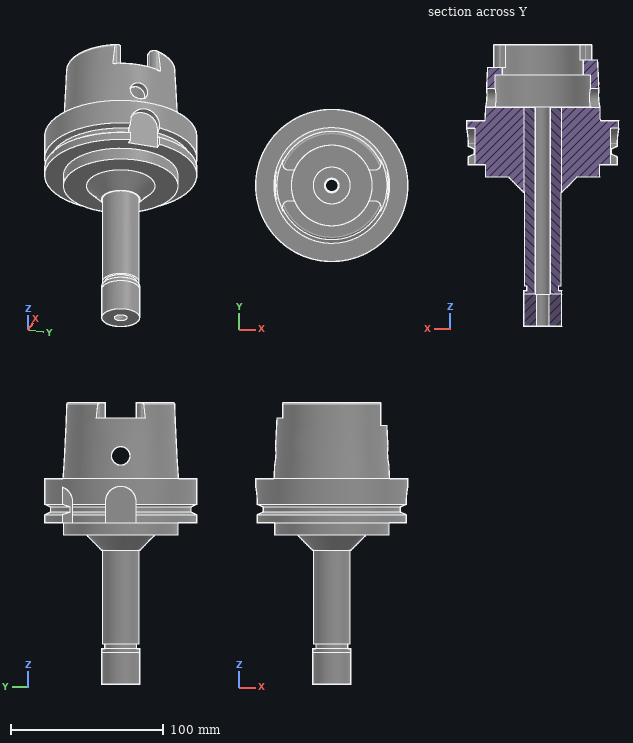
import cadquery as cq


taper_length = 50.0
taper_base_radius = 38.0
taper_slope = 1 / 20
taper_top_radius = taper_base_radius - taper_slope * taper_length
rim_fillet = 1.5
mouth_radius = 26.5
mouth_depth = 20.0
clamp_radius = 31.25
clamp_floor_z = 9.0
cross_hole_radius = 6.0
cross_hole_z = 15.0

rim_slot_half_width = 10.1
rim_slot_flat = 32.2
rim_slot_fillet = 4.0
rim_slot_depth_left = 10.0
rim_slot_depth_right = 15.0

flange_radius = 50.0
flange_thickness = 29.0
groove_floor_radius = 46.2
groove_centre_z = -20.2
groove_mouth_half = 3.45
groove_floor_half = 1.65

keyway_radius = 10.0
keyway_floor = 44.5
keyway_centre_z = -15.0
notch_floor = 32.1
notch_wall_y = 31.6

collar_radius = 37.6
collar_bottom_z = -37.0
cone_top_radius = 22.5
cone_bottom_radius = 12.6
cone_bottom_z = -47.0

shank_radius = 12.1
neck_radius = 10.5
neck_top_z = -108.5
neck_bottom_z = -111.5
lip_radius = 12.5
lip_bottom_z = -114.0
shank_bore_radius = 4.8

nut_radius = lip_radius
nut_bottom_z = -135.0
nut_bore_radius = 4.1


def cylinder(radius, bottom_z, top_z):
    return cq.Workplane("XY").workplane(offset=bottom_z).circle(radius).extrude(top_z - bottom_z)


def turned_holder():
    """Taper, grooved flange, collar and cone as one turned solid."""
    outline = [
        (0, taper_length),
        (taper_top_radius, taper_length),
        (taper_base_radius, 0),
        (flange_radius, 0),
        (flange_radius, groove_centre_z + groove_mouth_half),
        (groove_floor_radius, groove_centre_z + groove_floor_half),
        (groove_floor_radius, groove_centre_z - groove_floor_half),
        (flange_radius, groove_centre_z - groove_mouth_half),
        (flange_radius, -flange_thickness),
        (collar_radius, -flange_thickness),
        (collar_radius, collar_bottom_z),
        (cone_top_radius, collar_bottom_z),
        (cone_bottom_radius, cone_bottom_z),
        (0, cone_bottom_z),
    ]
    solid = cq.Workplane("XZ").polyline(outline).close().revolve(360, (0, 0, 0), (0, 1, 0))
    return solid.faces(">Z").edges().fillet(rim_fillet)


def rim_slot(depth):
    """Slot on the +X side of the rim: a radial channel that widens beyond a flat, corners rounded."""
    bottom_z = taper_length - depth
    channel = cq.Workplane("XY").box(
        flange_radius, 2 * rim_slot_half_width, depth, centered=(False, True, False)
    )
    clearance = cq.Workplane("XY").box(
        flange_radius - rim_slot_flat, 2 * flange_radius, depth, centered=(False, True, False)
    ).translate((rim_slot_flat, 0, 0))
    corner_margin = 1.0
    corners = cq.selectors.BoxSelector(
        (rim_slot_flat - corner_margin, -rim_slot_half_width - corner_margin, 0),
        (rim_slot_flat + corner_margin, rim_slot_half_width + corner_margin, depth),
    )
    slot = channel.union(clearance).edges("|Z").edges(corners).fillet(rim_slot_fillet)
    return slot.translate((0, 0, bottom_z))


def arched_slot(centre_y, floor_x):
    """Round-topped slot milled along X, from floor_x outward, open at the flange underside."""
    length = flange_radius - floor_x
    leg = cq.Workplane("XY").box(
        length, 2 * keyway_radius, flange_thickness + keyway_centre_z, centered=(False, True, False)
    ).translate((floor_x, centre_y, -flange_thickness))
    arch = (
        cq.Workplane("YZ", origin=(floor_x, centre_y, keyway_centre_z))
        .circle(keyway_radius)
        .extrude(length)
    )
    return leg.union(arch)


def make_holder():
    holder = turned_holder()
    holder = holder.cut(cylinder(mouth_radius, clamp_floor_z, taper_length))
    holder = holder.cut(cylinder(clamp_radius, clamp_floor_z, taper_length - mouth_depth))

    cross_hole = (
        cq.Workplane("YZ", origin=(-taper_base_radius, 0, cross_hole_z))
        .circle(cross_hole_radius)
        .extrude(2 * taper_base_radius)
    )
    holder = holder.cut(cross_hole)

    holder = holder.cut(rim_slot(rim_slot_depth_left).mirror("YZ"))
    holder = holder.cut(rim_slot(rim_slot_depth_right))

    keyway = arched_slot(0, keyway_floor)
    notch = arched_slot(notch_wall_y + keyway_radius, notch_floor)
    for cutter in (keyway, keyway.mirror("YZ"), notch.mirror("YZ")):
        holder = holder.cut(cutter)

    return holder.cut(cylinder(shank_radius, cone_bottom_z, clamp_floor_z))


def make_shank():
    shank = cylinder(shank_radius, neck_top_z, clamp_floor_z)
    shank = shank.union(cylinder(neck_radius, neck_bottom_z, neck_top_z))
    shank = shank.union(cylinder(lip_radius, lip_bottom_z, neck_bottom_z))
    return shank.cut(cylinder(shank_bore_radius, lip_bottom_z, clamp_floor_z))


def make_nut():
    nut = cylinder(nut_radius, nut_bottom_z, lip_bottom_z)
    return nut.cut(cylinder(nut_bore_radius, nut_bottom_z, lip_bottom_z))


holder = make_holder()
shank = make_shank()
nut = make_nut()

result = cq.Compound.makeCompound([holder.val(), shank.val(), nut.val()])